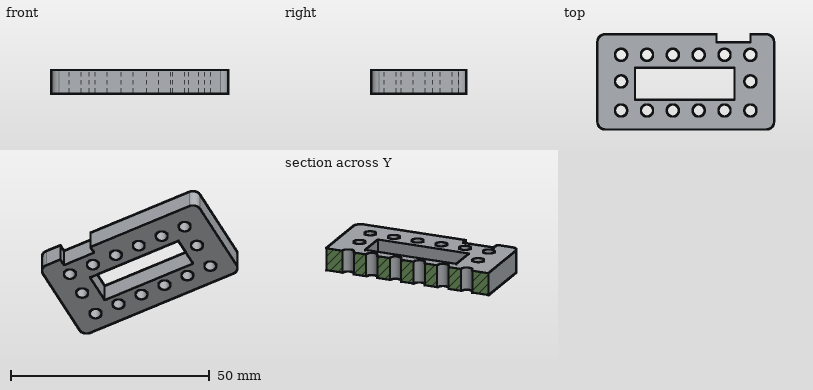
import cadquery as cq

length = 44.5
width = 24.0
height = 6.0
corner_radius = 2.0

hole_diameter = 3.0
hole_pitch = 6.5
holes_per_row = 6
back_row_y = 6.8
front_row_y = -7.2
end_hole_y = 0.1

window_length = 25.0
window_width = 8.0
window_x = -0.25
window_y = -0.5

notch_length = 8.5
notch_depth = 2.0

last_column_x = hole_pitch * (holes_per_row - 1) / 2
column_xs = [i * hole_pitch - last_column_x for i in range(holes_per_row)]


def make_block():
    block = cq.Workplane("XY").box(length, width, height, centered=(True, True, False))
    return block.edges("|Z").fillet(corner_radius)


def make_rectangular_cutter(x, y, size_x, size_y):
    return cq.Workplane("XY").center(x, y).rect(size_x, size_y).extrude(height)


def make_hole_cutter():
    points = [(x, y) for y in (front_row_y, back_row_y) for x in column_xs]
    points += [(-last_column_x, end_hole_y), (last_column_x, end_hole_y)]
    return cq.Workplane("XY").pushPoints(points).circle(hole_diameter / 2).extrude(height)


window = make_rectangular_cutter(window_x, window_y, window_length, window_width)
notch = make_rectangular_cutter(
    last_column_x - notch_length / 2,
    width / 2 - notch_depth / 2,
    notch_length,
    notch_depth,
)

result = make_block().cut(window).cut(notch).cut(make_hole_cutter())